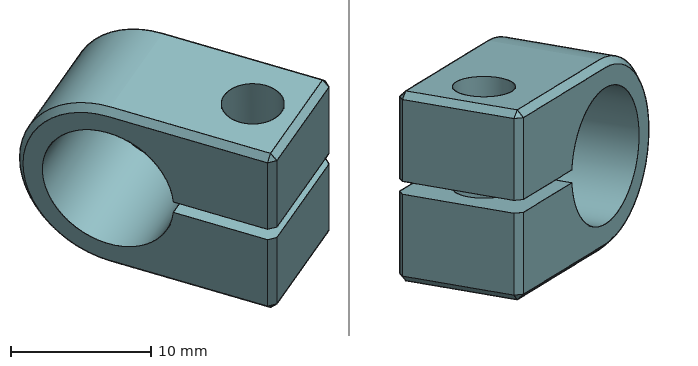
import cadquery as cq

length = 20.15
width = 10.0
height = 14.3
chamfer = 0.5

bore_diameter = 10.28
slot_gap = 0.97
screw_hole_diameter = 4.5
screw_to_end = 3.93

outer_radius = height / 2
end_x = length - outer_radius


def clamp_body():
    """Round-nosed block, chamfered on both faces and around the flat end."""
    body = (
        cq.Workplane("XZ")
        .moveTo(0, outer_radius)
        .lineTo(end_x, outer_radius)
        .lineTo(end_x, -outer_radius)
        .lineTo(0, -outer_radius)
        .threePointArc((-outer_radius, 0), (0, outer_radius))
        .close()
        .extrude(width / 2, both=True)
    )
    return body.edges("|X or >X or %CIRCLE").chamfer(chamfer)


def bore():
    return cq.Workplane("XZ").circle(bore_diameter / 2).extrude(width / 2, both=True)


def slot():
    """Gap from the bore out through the flat end."""
    return cq.Workplane("XY").box(end_x, width, slot_gap, centered=(False, True, True))


def screw_hole():
    """Hole across both clamping jaws."""
    return (
        cq.Workplane("XY")
        .center(end_x - screw_to_end, 0)
        .circle(screw_hole_diameter / 2)
        .extrude(outer_radius, both=True)
    )


result = clamp_body().cut(bore()).cut(slot()).cut(screw_hole())